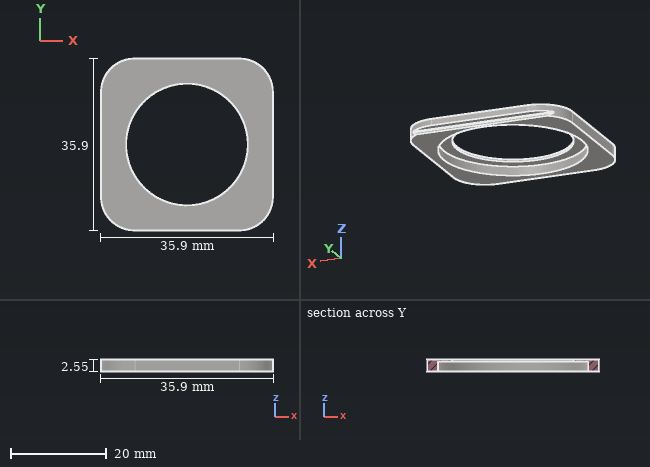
import cadquery as cq

side = 35.88
thickness = 2.55
corner_radius = 7.07

opening_diameter = 25.33
recess_diameter = 31.2
lip_thickness = 0.55

edge_thickness = 1.47
undercut_depth = 2.08
undercut_flat_height = 0.2


def make_plate():
    return (
        cq.Workplane("XY")
        .rect(side, side)
        .extrude(thickness)
        .edges("|Z")
        .fillet(corner_radius)
    )


def make_opening():
    opening = cq.Workplane("XY").circle(opening_diameter / 2).extrude(thickness)
    recess = cq.Workplane("XY").circle(recess_diameter / 2).extrude(thickness - lip_thickness)
    return opening.union(recess)


def make_undercut():
    """Groove with a flat top, a short upright wall and a 45 degree slope below it."""
    outer_y = side / 2
    inner_y = outer_y - undercut_depth
    top_z = thickness - edge_thickness
    slope_top_z = top_z - undercut_flat_height
    slope_foot_y = inner_y + slope_top_z
    profile = [
        (outer_y, 0),
        (outer_y, top_z),
        (inner_y, top_z),
        (inner_y, slope_top_z),
        (slope_foot_y, 0),
    ]
    return cq.Workplane("YZ").polyline(profile).close().extrude(side / 2, both=True)


result = make_plate().cut(make_opening()).cut(make_undercut())